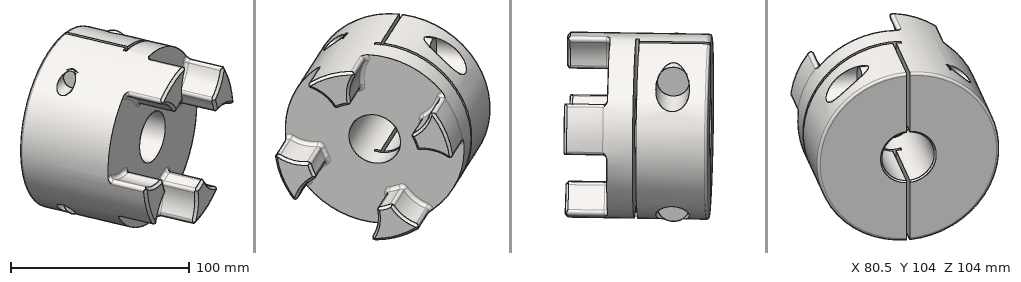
import cadquery as cq
import math

OUTER_RADIUS = 52.0
LENGTH = 80.5
BODY_LENGTH = 56.5
RIM_FILLET = 1.6
BORE_RADIUS = 15.0
BORE_CHAMFER = 0.9

JAW_COUNT = 4
JAW_PITCH = 360 / JAW_COUNT
FIRST_GAP_ANGLE = 0.75 * JAW_PITCH
JAW_INNER_RADIUS = 32.0
GAP_RADIUS = 23.8
GAP_CENTRE_RADIUS = 40.4
JAW_CORNER_FILLET = 2.0
JAW_TIP_CHAMFER = 1.6
JAW_ROOT_FILLET = 2.2
SPARE_RADIUS = 1.2 * OUTER_RADIUS

CUT_WIDTH = 2.0
SLIT_HALF_WIDTH = CUT_WIDTH / 2
SLOT_START = 40.0
SLOT_FLOOR_Y = -4.1
SLOT_FLOOR_FILLET = 0.4

SCREW_X = SLOT_START / 2
SCREW_HEIGHTS = (39.0, -39.0)
SHANK_RADIUS = 5.9
HEAD_RADIUS = 8.9
COUNTERBORE_RADIUS = 9.5
HEAD_TOP_Y = 23.6
HEAD_SEAT_Y = 12.0
SCREW_TIP_Y = -27.9
TIP_CHAMFER = 0.8
CORE_HOLE_RADIUS = SHANK_RADIUS - TIP_CHAMFER


def cylinder_x(radius, start, end, y=0, z=0):
    """Cylinder parallel to X, between two X positions."""
    return cq.Workplane("YZ", origin=(start, y, z)).circle(radius).extrude(end - start)


def cylinder_y(radius, start, end, z):
    """Cylinder on a screw axis at height z, between two Y positions."""
    plane = cq.Plane(origin=(SCREW_X, start, z), xDir=(1, 0, 0), normal=(0, 1, 0))
    return cq.Workplane(plane).circle(radius).extrude(end - start)


def block(x_start, x_end, y_start):
    """Block from y_start out past the +Y side, as tall as the hub."""
    size = 2 * OUTER_RADIUS
    origin = (x_start, y_start, 0)
    return cq.Workplane("XY", origin=origin).box(x_end - x_start, size, size, centered=(False, False, True))


def edges_between(x_start, x_end):
    """Selector for edges centred between two X positions."""
    low_corner = (x_start, -OUTER_RADIUS, -OUTER_RADIUS)
    high_corner = (x_end, OUTER_RADIUS, OUTER_RADIUS)
    return cq.selectors.BoxSelector(low_corner, high_corner)


def make_jaws():
    """Ring cut by the round gaps, with chamfered tips and rounded corners."""
    jaws = cylinder_x(OUTER_RADIUS, BODY_LENGTH, LENGTH)
    jaws = jaws.cut(cylinder_x(JAW_INNER_RADIUS, BODY_LENGTH, LENGTH))
    for index in range(JAW_COUNT):
        angle = math.radians(FIRST_GAP_ANGLE + index * JAW_PITCH)
        y = GAP_CENTRE_RADIUS * math.cos(angle)
        z = GAP_CENTRE_RADIUS * math.sin(angle)
        jaws = jaws.cut(cylinder_x(GAP_RADIUS, BODY_LENGTH, LENGTH, y, z))
    jaws = jaws.faces(">X").edges().chamfer(JAW_TIP_CHAMFER)
    corners = edges_between(BODY_LENGTH + JAW_TIP_CHAMFER, LENGTH - 2 * JAW_TIP_CHAMFER)
    return jaws.edges(corners).fillet(JAW_CORNER_FILLET)


def make_blank():
    """Whole hub before it is split."""
    disc = cylinder_x(SPARE_RADIUS, 0, BODY_LENGTH)
    tolerance = 0.1
    roots = edges_between(BODY_LENGTH - tolerance, BODY_LENGTH + tolerance)
    rim = cq.selectors.RadiusNthSelector(-1)
    root_edges = disc.union(make_jaws()).edges(roots - rim)
    envelope = cylinder_x(OUTER_RADIUS, 0, LENGTH).faces("<X").edges().fillet(RIM_FILLET)
    blank = root_edges.fillet(JAW_ROOT_FILLET).intersect(envelope)
    blank = blank.cut(cylinder_x(BORE_RADIUS, 0, LENGTH))
    bore_edge = blank.faces("<X").edges(cq.selectors.RadiusNthSelector(0))
    return bore_edge.chamfer(BORE_CHAMFER)


def make_hub(blank, screws):
    """Jaws and the -Y half, with a hole for each screw that narrows past its tip."""
    slot = block(SLOT_START, SLOT_START + CUT_WIDTH, SLOT_FLOOR_Y)
    slot = slot.faces("<Y").edges("|Z").fillet(SLOT_FLOOR_FILLET)
    hub = blank.cut(block(0, SLOT_START, -SLIT_HALF_WIDTH)).cut(slot)
    for z, screw in zip(SCREW_HEIGHTS, screws):
        hub = hub.cut(cylinder_y(CORE_HOLE_RADIUS, -OUTER_RADIUS, 0, z)).cut(screw)
    return hub


def make_clamp(blank, screws):
    """Separate +Y half shell, with counterbored screw holes."""
    clamp = blank.intersect(block(0, SLOT_START, SLIT_HALF_WIDTH))
    for z, screw in zip(SCREW_HEIGHTS, screws):
        clamp = clamp.cut(cylinder_y(COUNTERBORE_RADIUS, HEAD_SEAT_Y, OUTER_RADIUS, z)).cut(screw)
    return clamp


def make_screw(z):
    """Cap screw with a chamfered tip."""
    shank = cylinder_y(SHANK_RADIUS, SCREW_TIP_Y, HEAD_SEAT_Y, z)
    shank = shank.faces("<Y").chamfer(TIP_CHAMFER)
    return shank.union(cylinder_y(HEAD_RADIUS, HEAD_SEAT_Y, HEAD_TOP_Y, z))


blank = make_blank()
screws = [make_screw(z) for z in SCREW_HEIGHTS]
hub = make_hub(blank, screws)
clamp = make_clamp(blank, screws)

result = cq.Compound.makeCompound([hub.val(), clamp.val(), *[screw.val() for screw in screws]])